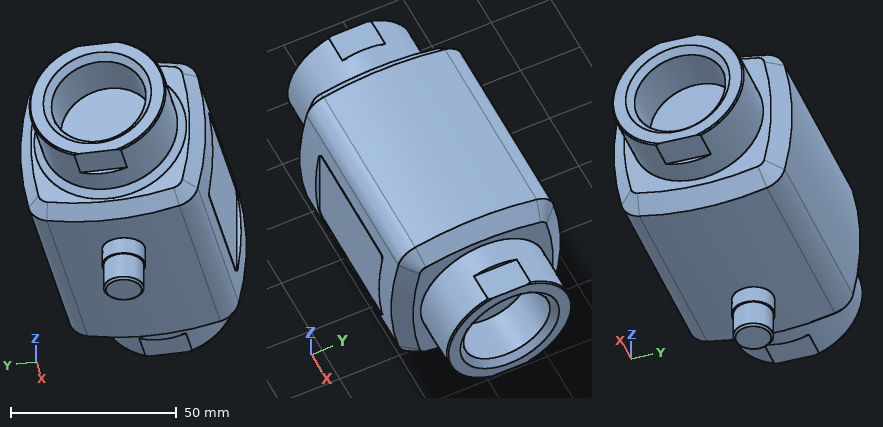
import cadquery as cq
import math

total_length = 110
half_length = total_length / 2

body_width = 57.0
half_width = body_width / 2
side_radius = 88
corner_radius = 7.7
left_bevel = 4.1
right_bevel = 5.0
collar_length = 1.6
collar_end_x = 36.7
housing_left_x = collar_length - collar_end_x
housing_right_x = collar_end_x

neck_radius = 21.0
neck_edge_chamfer = 0.4
collar_radius = 23.4
flat_length = 9.9
flat_distance = 39.5

bore_radius = 14.5
bore_mouth_radius = 16.6
mouth_depth = 2.1
bore_depth = 16.5

recess_length = 43.5
recess_height = 30.2
recess_depth = 1.4
recess_corner_radius = 2.0
recess_x = 1.8

connector_x = -14.5
connector_tip_z = -43.0
connector_step_z = -34.0
connector_radius = 6.0
connector_base_radius = 6.5
connector_chamfer = 0.7


def make_housing():
    arc_centre = side_radius - half_width
    corner = (math.sqrt(2 * side_radius**2 - arc_centre**2) - arc_centre) / 2
    return (
        cq.Workplane("YZ", origin=(housing_left_x, 0, 0))
        .moveTo(-corner, -corner)
        .threePointArc((0, -half_width), (corner, -corner))
        .threePointArc((half_width, 0), (corner, corner))
        .threePointArc((0, half_width), (-corner, corner))
        .threePointArc((-half_width, 0), (-corner, -corner))
        .close()
        .extrude(housing_right_x - housing_left_x)
        .edges("|X")
        .fillet(corner_radius)
        .faces("<X")
        .chamfer(left_bevel)
        .faces(">X")
        .chamfer(right_bevel)
    )


def make_necks():
    collar_base = -housing_left_x
    neck = (
        cq.Workplane("XY")
        .moveTo(0, 0)
        .lineTo(0, collar_radius)
        .lineTo(collar_base, collar_radius)
        .lineTo(collar_end_x, neck_radius)
        .lineTo(half_length - neck_edge_chamfer, neck_radius)
        .lineTo(half_length, neck_radius - neck_edge_chamfer)
        .lineTo(half_length, 0)
        .close()
        .revolve(360, (0, 0, 0), (1, 0, 0))
    )
    flats = cq.Workplane("XY").box(2 * flat_length, body_width, body_width).cut(
        cq.Workplane("XY").box(2 * flat_length, body_width, flat_distance)
    )
    neck = neck.cut(flats.translate((half_length, 0, 0)))
    return neck.union(neck.mirror("YZ"))


def make_sockets():
    bottom = half_length - bore_depth
    socket = (
        cq.Workplane("XY")
        .moveTo(bottom, 0)
        .lineTo(bottom, bore_radius)
        .lineTo(half_length - mouth_depth, bore_radius)
        .lineTo(half_length, bore_mouth_radius)
        .lineTo(half_length, 0)
        .close()
        .revolve(360, (0, 0, 0), (1, 0, 0))
    )
    return socket.union(socket.mirror("YZ"))


def make_recess():
    return (
        cq.Workplane("XZ", origin=(recess_x, recess_depth - half_width, 0))
        .rect(recess_length, recess_height)
        .extrude(2 * recess_depth)
        .edges("|Y")
        .fillet(recess_corner_radius)
    )


def make_connector():
    tip = (
        cq.Workplane("XY", origin=(connector_x, 0, connector_tip_z))
        .circle(connector_radius)
        .extrude(connector_step_z - connector_tip_z)
        .faces("<Z")
        .chamfer(connector_chamfer)
    )
    root_z = corner_radius - half_width
    base = (
        cq.Workplane("XY", origin=(connector_x, 0, connector_step_z))
        .circle(connector_base_radius)
        .extrude(root_z - connector_step_z)
    )
    return base.union(tip)


result = (
    make_housing()
    .union(make_necks())
    .union(make_connector())
    .cut(make_sockets())
    .cut(make_recess())
)